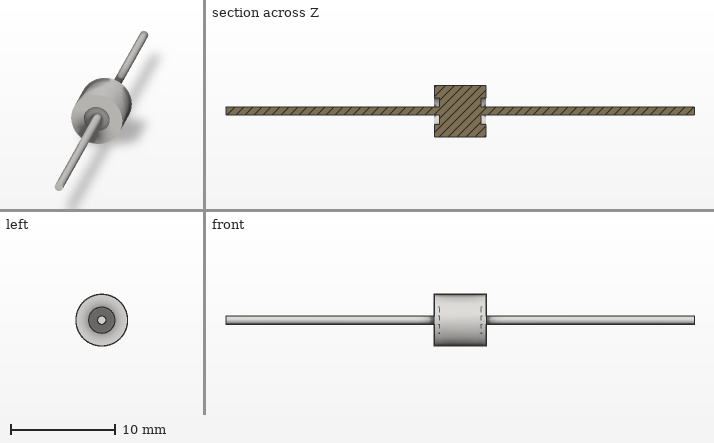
import cadquery as cq

overall_length = 45.0
body_diameter = 5.0
body_length = 5.0
cap_length = 0.8
lead_diameter = 0.8
recess_diameter = 2.5
recess_depth = 0.5

body_radius = body_diameter / 2
lead_radius = lead_diameter / 2
recess_radius = recess_diameter / 2

lead_end = overall_length / 2
body_end = body_length / 2
cap_joint = body_end - cap_length
recess_floor = body_end - recess_depth

end_outline = [
    (lead_end, 0),
    (lead_end, lead_radius),
    (recess_floor, lead_radius),
    (recess_floor, recess_radius),
    (body_end, recess_radius),
    (body_end, body_radius),
    (cap_joint, body_radius),
]
mirrored_outline = [(-x, radius) for x, radius in reversed(end_outline)]
outline = end_outline + mirrored_outline

axis_start = (0, 0)
axis_end = (1, 0)
result = cq.Workplane("XY").polyline(outline).close().revolve(360, axis_start, axis_end, clean=False)